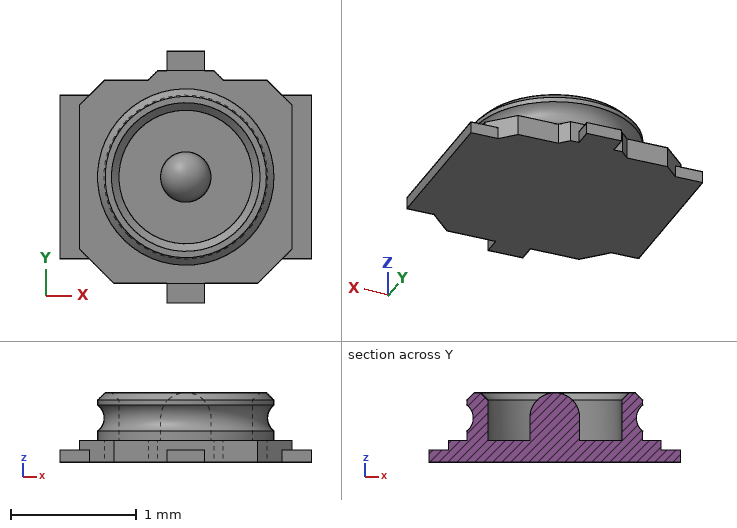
import cadquery as cq

BASE_HALF = 0.845
BASE_HEIGHT = 0.175
BACK_EDGE_Y = 0.77
BACK_CHAMFER = 0.2
FRONT_CHAMFER = 0.275
KEY_HALF_WIDTH = 0.2225

TAB_REACH = 1.0
TAB_HEIGHT = 0.1
SIDE_TAB_WIDTH = 1.3
END_TAB_WIDTH = 0.3

RING_RADIUS = 0.7
BORE_RADIUS = 0.53
RING_TOP = 0.555
RIM_CHAMFER = 0.06
GROOVE_DEPTH = 0.05
GROOVE_BOTTOM = 0.25
GROOVE_TOP = 0.455

PIN_RADIUS = 0.2
PIN_TOP = RING_TOP


def make_base():
    """Octagonal plate, with a tapered key on the back edge."""
    key_depth = BASE_HALF - BACK_EDGE_Y
    right_side = [
        (BASE_HALF - FRONT_CHAMFER, -BASE_HALF),
        (BASE_HALF, FRONT_CHAMFER - BASE_HALF),
        (BASE_HALF, BACK_EDGE_Y - BACK_CHAMFER),
        (BASE_HALF - BACK_CHAMFER, BACK_EDGE_Y),
        (KEY_HALF_WIDTH + key_depth, BACK_EDGE_Y),
        (KEY_HALF_WIDTH, BASE_HALF),
    ]
    left_side = [(-x, y) for x, y in reversed(right_side)]
    return cq.Workplane("XY").polyline(right_side + left_side).close().extrude(BASE_HEIGHT)


def make_tab_bar(length_x, length_y):
    """Flat bar through the base whose two ends form opposite solder tabs."""
    return cq.Workplane("XY").box(length_x, length_y, TAB_HEIGHT, centered=(True, True, False))


def make_ring():
    """Revolved ring with a chamfered rim and a rounded snap groove around it."""
    groove_middle = (GROOVE_BOTTOM + GROOVE_TOP) / 2
    rim_base = RING_TOP - RIM_CHAMFER
    return (
        cq.Workplane("XZ")
        .moveTo(BORE_RADIUS, 0)
        .lineTo(RING_RADIUS, 0)
        .lineTo(RING_RADIUS, GROOVE_BOTTOM)
        .threePointArc((RING_RADIUS - GROOVE_DEPTH, groove_middle), (RING_RADIUS, GROOVE_TOP))
        .lineTo(RING_RADIUS, rim_base)
        .lineTo(RING_RADIUS - RIM_CHAMFER, RING_TOP)
        .lineTo(BORE_RADIUS + RIM_CHAMFER, RING_TOP)
        .lineTo(BORE_RADIUS, rim_base)
        .close()
        .revolve(360, (0, 0, 0), (0, 1, 0))
    )


def make_pin():
    """Round pin with a hemispherical tip."""
    dome_base = PIN_TOP - PIN_RADIUS
    shaft = cq.Workplane("XY").circle(PIN_RADIUS).extrude(dome_base)
    dome = cq.Workplane("XY").sphere(PIN_RADIUS).translate((0, 0, dome_base))
    return shaft.union(dome)


result = (
    make_base()
    .union(make_tab_bar(2 * TAB_REACH, SIDE_TAB_WIDTH))
    .union(make_tab_bar(END_TAB_WIDTH, 2 * TAB_REACH))
    .union(make_ring())
    .union(make_pin())
)